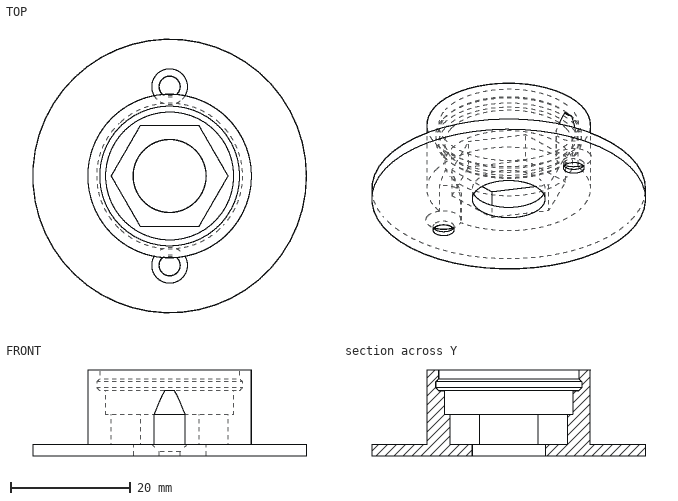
import cadquery as cq
import math

flange_diameter = 46.0
flange_thickness = 2.0
boss_diameter = 27.5
total_height = 14.5

mouth_diameter = 23.5
mouth_depth = 3.5
groove_diameter = 24.5
groove_top_depth = 1.5
groove_chamfer = (groove_diameter - mouth_diameter) / 2
bore_diameter = 21.5
bore_floor_z = 7.0
through_diameter = 12.23

hex_across_flats = 17.0
hex_across_corners = hex_across_flats / math.cos(math.radians(30))
hex_depth = bore_floor_z - flange_thickness

screw_offset = 15.0
screw_diameter = 3.5
screw_head_diameter = 6.0
countersink_depth = (screw_head_diameter - screw_diameter) / 2
clearance_straight_height = 5.0
clearance_taper_height = 4.0
clearance_tip_diameter = 3.0


def disc(diameter, height):
    """Solid cylinder on the Z axis, standing on the XY plane."""
    return cq.Workplane("XY").circle(diameter / 2).extrude(height)


def turned(profile):
    """Solid turned about the Z axis from a list of (radius, z) points."""
    return cq.Workplane("XZ").polyline(profile).close().revolve(360, (0, 0), (0, 1))


def body():
    """Round flange with the boss standing on it."""
    return disc(flange_diameter, flange_thickness).union(disc(boss_diameter, total_height))


def bore_cutter():
    """Mouth with a bevelled snap groove, then the bore and the through hole."""
    mouth_radius = mouth_diameter / 2
    groove_radius = groove_diameter / 2
    bore_radius = bore_diameter / 2
    through_radius = through_diameter / 2
    groove_top_z = total_height - groove_top_depth
    ledge_z = total_height - mouth_depth
    return turned([
        (0, 0),
        (through_radius, 0),
        (through_radius, bore_floor_z),
        (bore_radius, bore_floor_z),
        (bore_radius, ledge_z),
        (mouth_radius, ledge_z),
        (groove_radius, ledge_z + groove_chamfer),
        (groove_radius, groove_top_z - groove_chamfer),
        (mouth_radius, groove_top_z),
        (mouth_radius, total_height),
        (0, total_height),
    ])


def hex_cutter():
    """Hexagonal pocket with corners on the X axis."""
    pocket = cq.Workplane("XY").workplane(offset=flange_thickness)
    return pocket.polygon(6, hex_across_corners).extrude(hex_depth)


def screw_cutter():
    """Screw hole, countersink and tapered head clearance on the -Y side."""
    hole_radius = screw_diameter / 2
    head_radius = screw_head_diameter / 2
    tip_radius = clearance_tip_diameter / 2
    taper_start_z = flange_thickness + clearance_straight_height
    tip_z = taper_start_z + clearance_taper_height
    cutter = turned([
        (0, 0),
        (hole_radius, 0),
        (hole_radius, flange_thickness - countersink_depth),
        (head_radius, flange_thickness),
        (head_radius, taper_start_z),
        (tip_radius, tip_z),
        (0, tip_z),
    ])
    return cutter.translate((0, -screw_offset, 0))


result = body().cut(bore_cutter()).cut(hex_cutter())
for angle in (0, 180):
    result = result.cut(screw_cutter().rotate((0, 0, 0), (0, 0, 1), angle))